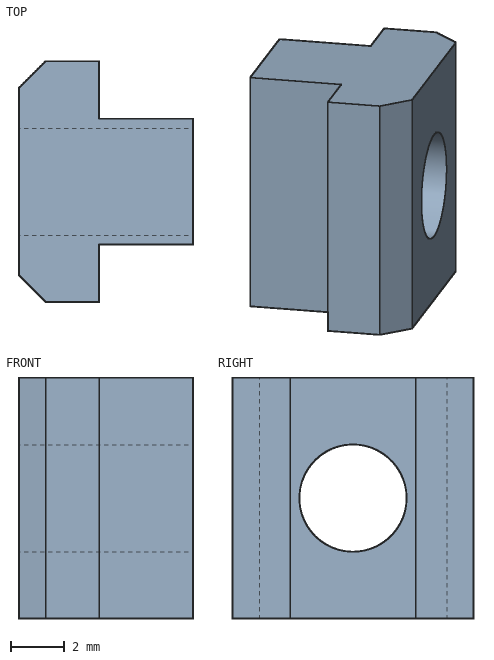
import cadquery as cq

depth = 6.5
width = 9.0
height = 9.0

flange_thickness = 3.0
stem_width = 4.7
corner_chamfer = 1.0

hole_diameter = 4.0


def make_flange():
    """Wide plate whose two upright outer edges are chamfered."""
    plate = cq.Workplane("XY").box(flange_thickness, width, height, centered=(False, True, True))
    return plate.faces("<X").edges("|Z").chamfer(corner_chamfer)


def make_stem():
    """Narrow block that runs through the flange to the full depth."""
    return cq.Workplane("XY").box(depth, stem_width, height, centered=(False, True, True))


def make_hole():
    """Round cutter through the centre of the flange and stem."""
    return cq.Workplane("YZ").circle(hole_diameter / 2).extrude(depth)


result = make_flange().union(make_stem()).cut(make_hole())